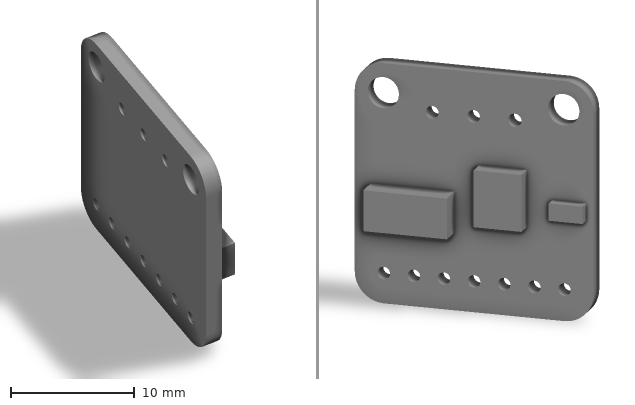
import cadquery as cq

board_width = 20.32
board_height = 20.38
board_thickness = 1.5
corner_radius = 2.5

mounting_holes = [
    (-7.62, 7.75, 2.67),
    (7.72, 7.68, 2.65),
]

upper_pin_holes = [
    (-3.46, 6.45, 1.12),
    (0.05, 6.42, 1.08),
    (3.57, 6.42, 1.08),
]

lower_pin_count = 7
lower_pin_diameter = 1.05
lower_row_start_x = -7.68
lower_row_end_x = 7.68
lower_row_start_z = -7.52
lower_row_end_z = -7.62

components = [
    (-8.11, -0.73, 2.9, 1.47, 1.0),
    (-2.49, -0.06, 4.05, 4.83, 1.5),
    (5.22, -1.83, 7.11, 3.46, 2.0),
]


def make_board():
    """Rounded plate centred on X and Z."""
    return (
        cq.Workplane("XY")
        .box(board_width, board_thickness, board_height)
        .edges("|Y")
        .fillet(corner_radius)
        .translate((0, board_thickness / 2, 0))
    )


def make_component(x, z, width, height, depth):
    """Rectangular block standing on the back face of the board."""
    return cq.Workplane("XY").box(width, depth, height).translate((x, board_thickness + depth / 2, z))


def make_hole(x, z, diameter):
    """Cylinder that cuts through the board thickness."""
    return cq.Workplane("XZ").center(x, z).circle(diameter / 2).extrude(-board_thickness)


def lower_pin_holes():
    """Positions and diameter of the evenly spaced lower row."""
    steps = lower_pin_count - 1
    pitch = (lower_row_end_x - lower_row_start_x) / steps
    drop = (lower_row_end_z - lower_row_start_z) / steps
    return [
        (lower_row_start_x + i * pitch, lower_row_start_z + i * drop, lower_pin_diameter)
        for i in range(lower_pin_count)
    ]


result = make_board()
for component in components:
    result = result.union(make_component(*component))
for hole in mounting_holes + upper_pin_holes + lower_pin_holes():
    result = result.cut(make_hole(*hole))